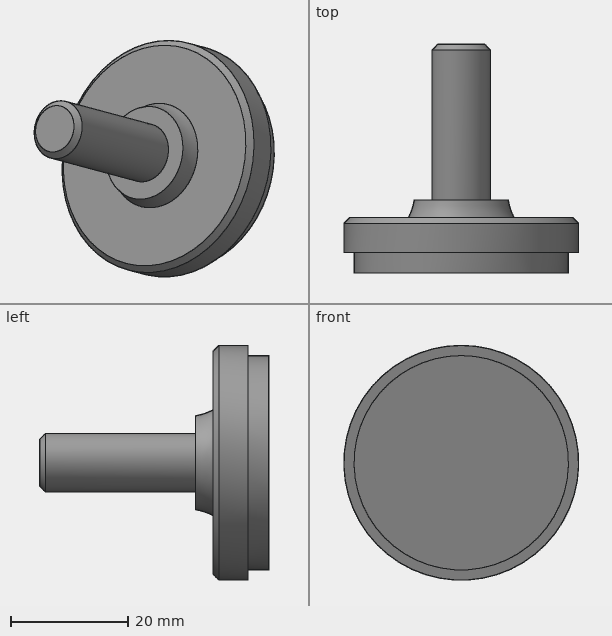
import cadquery as cq

TOTAL_LENGTH = 39.0

PAD_DIAMETER = 36.5
PAD_THICKNESS = 3.5

DISC_DIAMETER = 40.0
DISC_THICKNESS = 6.0
DISC_CHAMFER = 1.0

HUB_BASE_DIAMETER = 18.0
HUB_TOP_DIAMETER = 16.0
HUB_HEIGHT = 3.0
HUB_FLANK_RADIUS = 10.0

STUD_DIAMETER = 10.0
STUD_CHAMFER = 1.0

pad_radius = PAD_DIAMETER / 2
disc_radius = DISC_DIAMETER / 2
hub_base_radius = HUB_BASE_DIAMETER / 2
hub_top_radius = HUB_TOP_DIAMETER / 2
stud_radius = STUD_DIAMETER / 2
disc_back = PAD_THICKNESS + DISC_THICKNESS
hub_top = disc_back + HUB_HEIGHT


def half_profile():
    """Closed outline in the YZ plane, as (length along Y, radius along Z)."""
    return (
        cq.Workplane("YZ")
        .lineTo(0, pad_radius)
        .lineTo(PAD_THICKNESS, pad_radius)
        .lineTo(PAD_THICKNESS, disc_radius)
        .lineTo(disc_back - DISC_CHAMFER, disc_radius)
        .lineTo(disc_back, disc_radius - DISC_CHAMFER)
        .lineTo(disc_back, hub_base_radius)
        .radiusArc((hub_top, hub_top_radius), -HUB_FLANK_RADIUS)
        .lineTo(hub_top, stud_radius)
        .lineTo(TOTAL_LENGTH - STUD_CHAMFER, stud_radius)
        .lineTo(TOTAL_LENGTH, stud_radius - STUD_CHAMFER)
        .lineTo(TOTAL_LENGTH, 0)
        .close()
    )


result = half_profile().revolve(360, (0, 0, 0), (1, 0, 0))